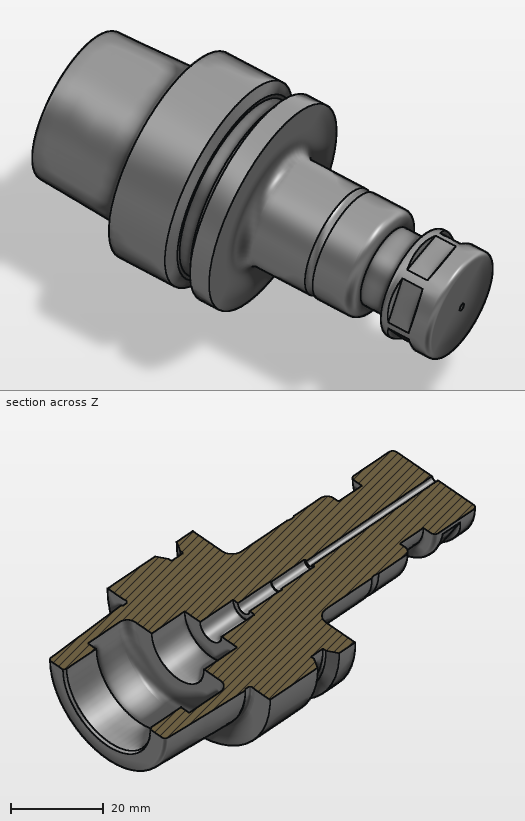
import cadquery as cq
import math


shank_length = 25.0
shank_end_radius = 17.0
shank_corner = 1.0
taper_slope = 1 / 20
taper_end_x = -2.1

relief_start_x = -1.35
relief_radius = 18.8
relief_arc_radius = 0.65
relief_arc_start_x = -0.55
relief_outer_radius = 20.3

flange_radius = 25.0
flange_length = 26.0
grip_groove_radius = 21.5
grip_wall_radius = 22.4
grip_groove_start_x = 16.05
grip_groove_end_x = 19.55
grip_flank_angle = 30.0

body_radius = 13.0
body_end_x = 55.0
body_root_fillet = 3.0
body_end_fillet = 2.0
ring_groove_start_x = 42.9
ring_groove_end_x = 44.9
ring_groove_depth = 0.25
neck_radius = 9.5

nut_start_x = 62.0
nut_end_x = 75.0
nut_radius = 13.0
nut_fillet = 1.2
flat_count = 6
flat_distance = 11.75
flat_start_x = 64.5
flat_end_x = 69.75
flat_end_run = 0.6

mouth_radius = 13.4
mouth_chamfer_length = 0.75
clamp_bore_radius = 13.0
clamp_bore_depth = 9.8
chamber_radius = 15.5
chamber_fillet = 2.4
chamber_depth = 21.7

step_length = 10.0
step_radii = [8.0, 3.25, 1.75, 1.5]
through_radius = 0.85


def add_quarter_arc(profile, center, radius, middle_side, end_side):
    """Add a quarter arc; both sides are direction signs (along X, radially) from the centre."""
    center_x, center_radius = center
    middle_offset = radius * math.sqrt(0.5)
    middle = (
        center_x + middle_side[0] * middle_offset,
        center_radius + middle_side[1] * middle_offset,
    )
    end = (center_x + end_side[0] * radius, center_radius + end_side[1] * radius)
    return profile.threePointArc(middle, end)


def add_shank(profile):
    """Taper with a rounded end, then the relief groove up to the flange face."""
    taper_start_x = -shank_length + shank_corner
    taper_start_radius = shank_end_radius + shank_corner
    taper_end_radius = taper_start_radius + (taper_end_x - taper_start_x) * taper_slope
    relief_edge_x = relief_start_x - (taper_end_radius - relief_radius)
    profile = profile.lineTo(-shank_length, shank_end_radius)
    profile = add_quarter_arc(profile, (taper_start_x, shank_end_radius), shank_corner, (-1, 1), (0, 1))
    profile = (
        profile
        .lineTo(taper_end_x, taper_end_radius)
        .lineTo(relief_edge_x, taper_end_radius)
        .lineTo(relief_start_x, relief_radius)
        .lineTo(relief_arc_start_x, relief_radius)
    )
    relief_center = (relief_arc_start_x, relief_radius + relief_arc_radius)
    profile = add_quarter_arc(profile, relief_center, relief_arc_radius, (1, -1), (1, 0))
    return profile.lineTo(0, relief_outer_radius)


def add_flange(profile):
    """Flange rim with its gripper groove."""
    flank_run = (flange_radius - grip_wall_radius) * math.tan(math.radians(grip_flank_angle))
    return (
        profile
        .lineTo(0, flange_radius)
        .lineTo(grip_groove_start_x - flank_run, flange_radius)
        .lineTo(grip_groove_start_x, grip_wall_radius)
        .lineTo(grip_groove_start_x, grip_groove_radius)
        .lineTo(grip_groove_end_x, grip_groove_radius)
        .lineTo(grip_groove_end_x, grip_wall_radius)
        .lineTo(grip_groove_end_x + flank_run, flange_radius)
        .lineTo(flange_length, flange_radius)
    )


def add_chuck_body(profile):
    """Cylindrical body with a root fillet, a shallow ring groove and a rounded end."""
    root_center = (flange_length + body_root_fillet, body_radius + body_root_fillet)
    end_center = (body_end_x - body_end_fillet, body_radius - body_end_fillet)
    ring_middle_x = (ring_groove_start_x + ring_groove_end_x) / 2
    profile = profile.lineTo(flange_length, body_radius + body_root_fillet)
    profile = add_quarter_arc(profile, root_center, body_root_fillet, (-1, -1), (0, -1))
    profile = (
        profile
        .lineTo(ring_groove_start_x, body_radius)
        .threePointArc(
            (ring_middle_x, body_radius - ring_groove_depth),
            (ring_groove_end_x, body_radius),
        )
        .lineTo(body_end_x - body_end_fillet, body_radius)
    )
    profile = add_quarter_arc(profile, end_center, body_end_fillet, (1, 1), (1, 0))
    return profile.lineTo(body_end_x, neck_radius).lineTo(nut_start_x, neck_radius)


def add_nut(profile):
    """Clamping nut rounded at both ends."""
    fillet_center_radius = nut_radius - nut_fillet
    start_center = (nut_start_x + nut_fillet, fillet_center_radius)
    end_center = (nut_end_x - nut_fillet, fillet_center_radius)
    profile = profile.lineTo(nut_start_x, fillet_center_radius)
    profile = add_quarter_arc(profile, start_center, nut_fillet, (-1, 1), (0, 1))
    profile = profile.lineTo(nut_end_x - nut_fillet, nut_radius)
    return add_quarter_arc(profile, end_center, nut_fillet, (1, 1), (1, 0))


def revolve_about_x(profile):
    return profile.close().revolve(360, (0, 0, 0), (1, 0, 0))


def turned_body():
    profile = cq.Workplane("XY").moveTo(-shank_length, 0)
    for add_section in (add_shank, add_flange, add_chuck_body, add_nut):
        profile = add_section(profile)
    return revolve_about_x(profile.lineTo(nut_end_x, 0))


def clamping_chamber():
    """Chamfered bore that opens into a wider chamber with a rounded floor corner."""
    mouth_x = -shank_length
    lip_x = mouth_x + clamp_bore_depth
    floor_x = mouth_x + chamber_depth
    fillet_center = (floor_x - chamber_fillet, chamber_radius - chamber_fillet)
    profile = (
        cq.Workplane("XY")
        .moveTo(mouth_x, 0)
        .lineTo(mouth_x, mouth_radius)
        .lineTo(mouth_x + mouth_chamfer_length, clamp_bore_radius)
        .lineTo(lip_x, clamp_bore_radius)
        .lineTo(lip_x, chamber_radius)
        .lineTo(floor_x - chamber_fillet, chamber_radius)
    )
    profile = add_quarter_arc(profile, fillet_center, chamber_fillet, (1, 1), (1, 0))
    return revolve_about_x(profile.lineTo(floor_x, 0))


def bore(start_x, end_x, radius):
    return cq.Workplane("YZ", origin=(start_x, 0, 0)).circle(radius).extrude(end_x - start_x)


def stepped_bore():
    """Bore that narrows step by step from the chamber floor, then runs through to the nut face."""
    start_x = chamber_depth - shank_length
    steps = bore(start_x, nut_end_x, through_radius)
    for radius in step_radii:
        steps = steps.union(bore(start_x, start_x + step_length, radius))
        start_x += step_length
    return steps


def wrench_flat_cutter():
    """Cutter for the flat on the +Z side; its sloped ends continue past the nut surface."""
    flat_depth = nut_radius - flat_distance
    top_z = nut_radius + flat_depth
    top_run = flat_end_run * (top_z - flat_distance) / flat_depth
    return (
        cq.Workplane("XZ")
        .moveTo(flat_start_x, flat_distance)
        .lineTo(flat_end_x, flat_distance)
        .lineTo(flat_end_x + top_run, top_z)
        .lineTo(flat_start_x - top_run, top_z)
        .close()
        .extrude(nut_radius, both=True)
    )


result = turned_body().cut(clamping_chamber()).cut(stepped_bore())
for index in range(flat_count):
    angle = index * 360 / flat_count
    result = result.cut(wrench_flat_cutter().rotate((0, 0, 0), (1, 0, 0), angle))